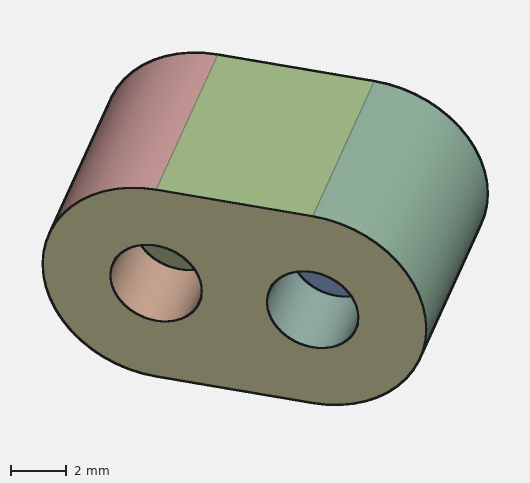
import cadquery as cq

length = 14.35
depth = 8.3
height = 8.5

bore_spacing = length - height
bore_diameter = 3.42
bore_depth = 3.15

front_y = -depth / 2


def front_workplane():
    """Sketch plane on the front face, with its normal pointing toward -Y."""
    return cq.Workplane("XZ", origin=(0, front_y, 0))


block = front_workplane().slot2D(length, height).extrude(-depth)

bores = (
    front_workplane()
    .pushPoints([(-bore_spacing / 2, 0), (bore_spacing / 2, 0)])
    .circle(bore_diameter / 2)
    .extrude(-bore_depth)
)

result = block.cut(bores)